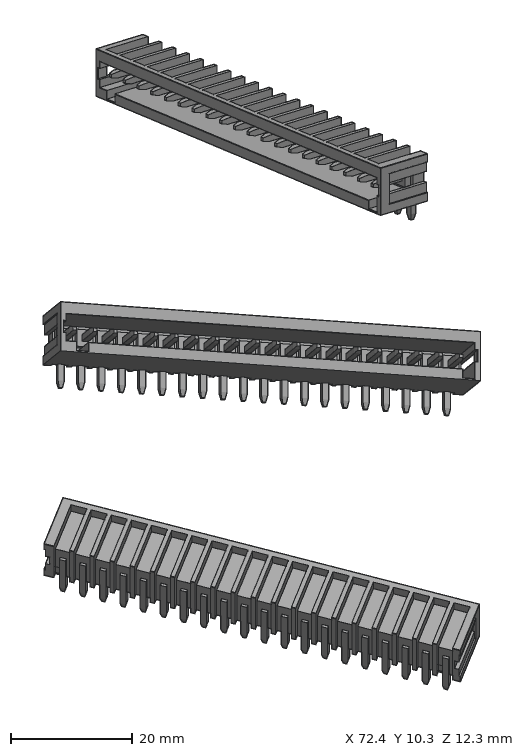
import cadquery as cq

LENGTH = 72.4
DEPTH = 10.3
HEIGHT = 8.4
EDGE_BREAK = 0.1

CONTACT_COUNT = 20
CONTACT_SPAN = 66.5
FIRST_CONTACT_X = 2.75
PITCH = CONTACT_SPAN / (CONTACT_COUNT - 1)
CONTACT_X = [FIRST_CONTACT_X + i * PITCH for i in range(CONTACT_COUNT)]
CONTACT_Z = 4.2
PIN_WIDTH = 1.1
PIN_TIP_WIDTH = 0.6
PIN_TIP_LENGTH = 1.1
PIN_SETBACK = 0.9
LEG_FROM_BACK = 0.95
LEG_LENGTH = 3.9
LEG_Y = DEPTH - LEG_FROM_BACK

END_WALL = 1.0
CAVITY_RIGHT = LENGTH - END_WALL
CAVITY_FLOOR = 1.8
CAVITY_CEILING = 6.4
CAVITY_BACK_WALL = 2.3
CAVITY_DEPTH = DEPTH - CAVITY_BACK_WALL

COLLAR_WIDTH = 2.75
COLLAR_HEIGHT = 2.9
COLLAR_LENGTH = 1.15

BAY_WIDTH = 2.75
BAY_FRONT_WALL = 1.1
BAY_FLOOR = 6.65
BAY_BACK_STEP = 0.9

END_FRONT_LAND = 1.95
RECESS_DEPTH = 0.3
RECESS_HEIGHT = 5.4
SLOT_HEIGHT = 1.95
GROOVE_WALL = 0.6

NOTCH_WIDTH = 2.0
LEFT_NOTCH_X = 2.8
RIGHT_NOTCH_X = CAVITY_RIGHT - NOTCH_WIDTH
NOTCH_FLOOR = 0.3

X_AXIS = ((0, 0, 0), (1, 0, 0))


def block(x_range, y_range, z_range):
    """Box spanning the given (low, high) ranges."""
    (x0, x1), (y0, y1), (z0, z1) = x_range, y_range, z_range
    return cq.Workplane("XY").box(x1 - x0, y1 - y0, z1 - z0, centered=False).translate((x0, y0, z0))


def around(centre, width):
    """Range of the given width about a centre."""
    return (centre - width / 2, centre + width / 2)


def at_each_contact(unit):
    """Copies of a solid lying at X = 0, one at every contact position."""
    copies = [unit.val().translate(cq.Vector(x, 0, 0)) for x in CONTACT_X]
    return cq.Workplane(cq.Compound.makeCompound(copies))


def square_pin(length):
    """Square pin along +Z from the origin with a tapered far end."""
    shank = cq.Workplane("XY").rect(PIN_WIDTH, PIN_WIDTH).extrude(length - PIN_TIP_LENGTH)
    tip = (
        shank.faces(">Z")
        .workplane()
        .rect(PIN_WIDTH, PIN_WIDTH)
        .workplane(offset=PIN_TIP_LENGTH)
        .rect(PIN_TIP_WIDTH, PIN_TIP_WIDTH)
        .loft(combine=False)
    )
    return shank.union(tip)


def contact():
    """Right-angle contact: a mating pin toward the front and a solder leg downward."""
    corner = (0, LEG_Y, CONTACT_Z)
    pin = square_pin(LEG_Y - PIN_SETBACK).rotate(*X_AXIS, 90)
    leg = square_pin(CONTACT_Z + LEG_LENGTH).rotate(*X_AXIS, 180)
    elbow = cq.Workplane("XY").box(PIN_WIDTH, PIN_WIDTH, PIN_WIDTH)
    return pin.union(leg).union(elbow).translate(corner)


housing = block((0, LENGTH), (0, DEPTH), (0, HEIGHT))
housing = housing.edges("not (<Y or <Z)").chamfer(EDGE_BREAK)

cavity = block((END_WALL, CAVITY_RIGHT), (0, CAVITY_DEPTH), (CAVITY_FLOOR, CAVITY_CEILING))
housing = housing.cut(cavity)

slot_z = around(CONTACT_Z, SLOT_HEIGHT)
recess_z = around(CONTACT_Z, RECESS_HEIGHT)
behind_land = (END_FRONT_LAND, DEPTH)
for recess_x in ((0, RECESS_DEPTH), (LENGTH - RECESS_DEPTH, LENGTH)):
    housing = housing.cut(block(recess_x, behind_land, recess_z))
for slot_x in ((0, END_WALL), (CAVITY_RIGHT, LENGTH)):
    housing = housing.cut(block(slot_x, behind_land, slot_z))
housing = housing.cut(block((GROOVE_WALL, LENGTH - GROOVE_WALL), (0, END_FRONT_LAND), slot_z))

for notch_x in (LEFT_NOTCH_X, RIGHT_NOTCH_X):
    x_range = (notch_x, notch_x + NOTCH_WIDTH)
    housing = housing.cut(block(x_range, (0, LEG_Y), (NOTCH_FLOOR, CAVITY_FLOOR)))

housing = housing.faces("<Y").edges("not <Z").chamfer(EDGE_BREAK)

bay_outline = [
    (BAY_FRONT_WALL, HEIGHT),
    (BAY_FRONT_WALL, BAY_FLOOR),
    (DEPTH - BAY_BACK_STEP, BAY_FLOOR),
    (DEPTH - BAY_BACK_STEP, 0),
    (DEPTH, 0),
    (DEPTH, HEIGHT),
]
bay = cq.Workplane("YZ").polyline(bay_outline).close().extrude(BAY_WIDTH / 2, both=True)
housing = housing.cut(at_each_contact(bay))

collar = block(
    around(0, COLLAR_WIDTH),
    (CAVITY_DEPTH - COLLAR_LENGTH, CAVITY_DEPTH),
    around(CONTACT_Z, COLLAR_HEIGHT),
)
contact_unit = collar.union(contact())
result = housing.union(at_each_contact(contact_unit))